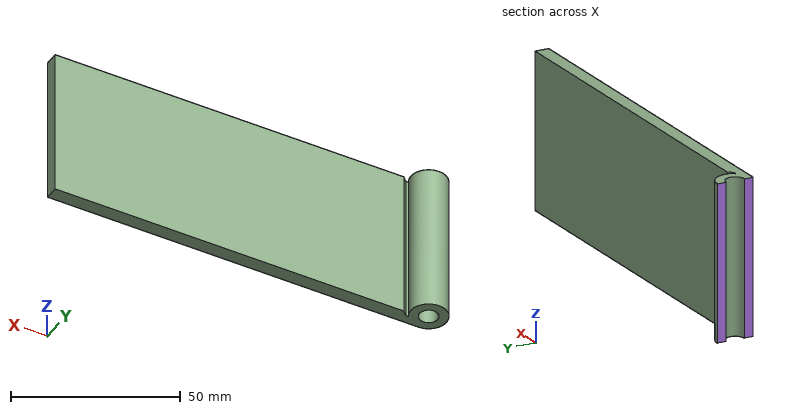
import cadquery as cq

length = 132.0
height = 50.0
barrel_diameter = 12.0

pin_hole_diameter = 6.1
leaf_thickness = 4.6
notch_floor = 3.0
notch_floor_end = 6.1

barrel_radius = barrel_diameter / 2
outer_face_y = -barrel_radius
inner_face_y = outer_face_y + leaf_thickness
notch_floor_y = outer_face_y + notch_floor
leaf_end_x = length - barrel_radius

notch_top_x = notch_floor_end + leaf_thickness - notch_floor

leaf = (
    cq.Workplane("XY")
    .moveTo(0, outer_face_y)
    .lineTo(leaf_end_x, outer_face_y)
    .lineTo(leaf_end_x, inner_face_y)
    .lineTo(notch_top_x, inner_face_y)
    .lineTo(notch_floor_end, notch_floor_y)
    .lineTo(0, notch_floor_y)
    .close()
    .extrude(height)
)

barrel = cq.Workplane("XY").circle(barrel_radius).extrude(height)
pin_hole = cq.Workplane("XY").circle(pin_hole_diameter / 2).extrude(height)

result = barrel.union(leaf).cut(pin_hole)